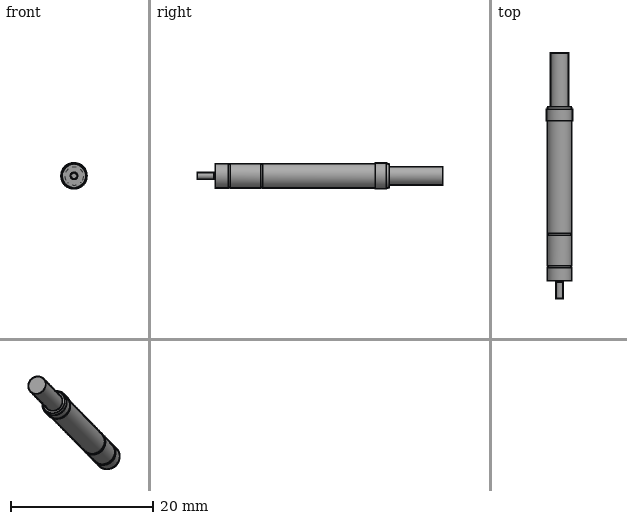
import cadquery as cq

total_length = 34.5
pin_length = 2.52
tail_length = 7.52
lip_length = 0.4
collar_length = 1.6

pin_diameter = 1.0
body_diameter = 3.45
collar_diameter = 3.65
lip_base_diameter = 3.6
lip_end_diameter = 3.28
tail_diameter = 2.6

root_length = 0.17
root_tip_diameter = 0.9
root_base_diameter = 0.75

groove_depth = 0.093
groove_width = 0.28
front_groove_offset = 1.83
rear_groove_offset = 6.4

pin_tip_y = -total_length / 2
body_front_y = pin_tip_y + pin_length
tail_end_y = total_length / 2
lip_end_y = tail_end_y - tail_length
collar_rear_y = lip_end_y - lip_length
collar_front_y = collar_rear_y - collar_length


def cone(front_y, rear_y, front_diameter, rear_diameter):
    """Solid of revolution about Y whose diameter changes evenly along its length."""
    return (
        cq.Workplane("XY")
        .moveTo(0, front_y)
        .lineTo(front_diameter / 2, front_y)
        .lineTo(rear_diameter / 2, rear_y)
        .lineTo(0, rear_y)
        .close()
        .revolve(360, (0, 0, 0), (0, 1, 0))
    )


def rod(front_y, rear_y, diameter):
    return cone(front_y, rear_y, diameter, diameter)


def groove_cutter(offset):
    """Ring with a circular-segment section that cuts a round-bottomed groove into the body."""
    surface = body_diameter / 2
    front_edge_y = body_front_y + offset
    bottom = (surface - groove_depth, front_edge_y + groove_width / 2)
    return (
        cq.Workplane("XY")
        .moveTo(surface, front_edge_y)
        .threePointArc(bottom, (surface, front_edge_y + groove_width))
        .close()
        .revolve(360, (0, 0, 0), (0, 1, 0))
    )


front_groove = groove_cutter(front_groove_offset)
rear_groove = groove_cutter(rear_groove_offset)

body = rod(body_front_y, collar_front_y, body_diameter).cut(front_groove).cut(rear_groove)

pin = rod(pin_tip_y, body_front_y - root_length, pin_diameter)
pin_root = cone(body_front_y - root_length, body_front_y, root_tip_diameter, root_base_diameter)

collar = rod(collar_front_y, collar_rear_y, collar_diameter)
lip = cone(collar_rear_y, lip_end_y, lip_base_diameter, lip_end_diameter)
tail = rod(lip_end_y, tail_end_y, tail_diameter)

result = body.union(pin_root).union(pin).union(collar).union(lip).union(tail)